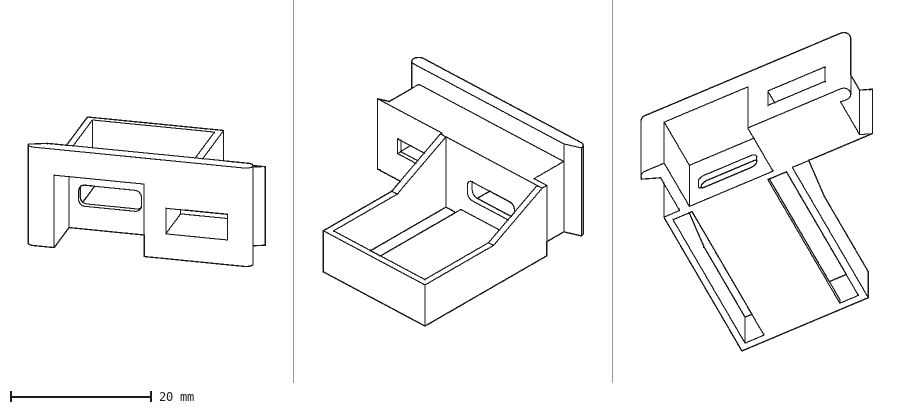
import cadquery as cq
import math

plate_width = 33.0
plate_height = 15.0
edge_radius = 1.0
plate_thickness = 2 * edge_radius

neck_left = 2.5
neck_right = 31.02
neck_back = 8.05
neck_height = 12.0

back_wall = 0.95
flange_back = neck_back + back_wall
lip_tip_x = 32.75
lip_back = 8.7

box_width = 20.03
box_back = 33.0
box_height = 7.03
left_wall = 1.0
right_wall = 1.1
end_wall = 1.0
gusset_length = 2 * (neck_height - box_height)

strip_left = 4.0
strip_width = 12.0
strip_thickness = 1.0

pocket_left = 4.05
pocket_right = 17.3
pocket_height = 11.05
slot_left = 5.48
slot_width = 9.2
slot_bottom = 3.5
slot_height = 3.2
slot_corner_radius = 0.92

window_left = 20.45
window_bottom = 3.8
window_width = 9.08
window_height = 3.9
window_rim_side = 0.82
window_rim_height = 0.7


def block(x0, x1, y0, y1, z0, z1):
    """Box spanning the given limits on each axis."""
    return cq.Workplane("XY").box(x1 - x0, y1 - y0, z1 - z0, centered=False).translate((x0, y0, z0))


def front_plate():
    """Plate with a full-round right end, a rounded left edge and a bevel on its rear left."""
    arc_inset = edge_radius * (1 - math.sqrt(0.5))
    right_inset = plate_width - edge_radius
    return (
        cq.Workplane("XY")
        .moveTo(edge_radius, 0)
        .lineTo(right_inset, 0)
        .threePointArc((plate_width, edge_radius), (right_inset, plate_thickness))
        .lineTo(neck_left, plate_thickness)
        .lineTo(0, edge_radius)
        .threePointArc((arc_inset, arc_inset), (edge_radius, 0))
        .close()
        .extrude(plate_height)
    )


def neck():
    """Solid neck with a square flange on the left and a sharp snap lip on the right."""
    front = plate_thickness / 2
    outline = [
        (neck_left, front),
        (neck_right, front),
        (neck_right, neck_back),
        (lip_tip_x, lip_back),
        (box_width, lip_back),
        (box_width, flange_back),
        (0, flange_back),
        (0, neck_back),
        (neck_left, neck_back),
    ]
    return cq.Workplane("XY").polyline(outline).close().extrude(neck_height)


def rear_box():
    """Open frame whose side walls slope up to the neck, with a floor strip."""
    side_profile = [
        (flange_back, 0),
        (box_back, 0),
        (box_back, box_height),
        (flange_back + gusset_length, box_height),
        (flange_back, neck_height),
    ]
    frame = cq.Workplane("YZ").polyline(side_profile).close().extrude(box_width)
    inside_back = box_back - end_wall
    cavity = block(left_wall, box_width - right_wall, flange_back, inside_back, 0, neck_height)
    strip = block(strip_left, strip_left + strip_width, flange_back, inside_back, 0, strip_thickness)
    return frame.cut(cavity).union(strip)


def pocket():
    """Pocket up to the back wall, plus a rounded slot through that wall."""
    recess = block(pocket_left, pocket_right, 0, neck_back, 0, pocket_height)
    slot = block(
        slot_left,
        slot_left + slot_width,
        neck_back,
        flange_back,
        slot_bottom,
        slot_bottom + slot_height,
    )
    return recess.union(slot.edges("|Y").fillet(slot_corner_radius))


def window():
    """Rectangular recess up to the back wall, with a smaller opening through the wall."""
    right = window_left + window_width
    top = window_bottom + window_height
    recess = block(window_left, right, 0, neck_back, window_bottom, top)
    opening = block(
        window_left + window_rim_side,
        right - window_rim_side,
        neck_back,
        lip_back,
        window_bottom + window_rim_height,
        top - window_rim_height,
    )
    return recess.union(opening)


result = front_plate().union(neck()).union(rear_box()).cut(pocket()).cut(window())